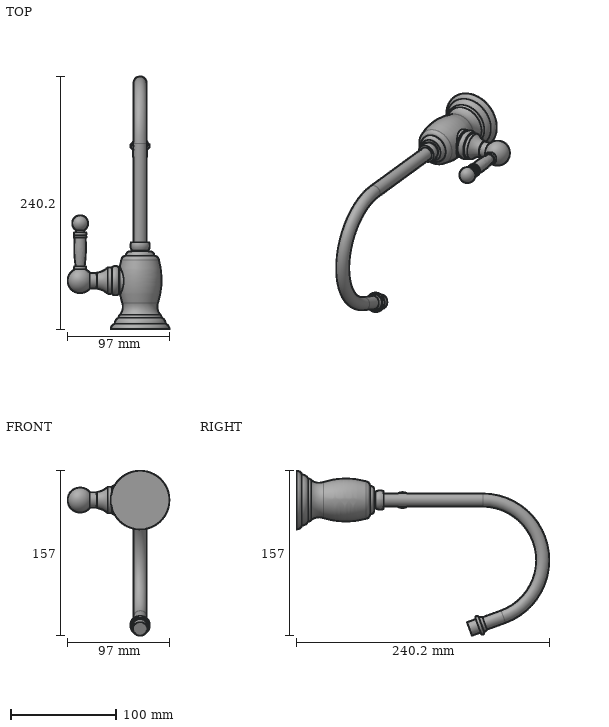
import cadquery as cq
import math


FOOT_RADIUS = 28.0
FOOT_HEIGHT = 5.0
MOULDING_BULGE = 0.95
STEP_RADIUS = 24.4
STEP_TOP = 10.9
STEP_TOP_RADIUS = 20.6
COVE_START = 13.6
COVE_START_RADIUS = 19.2
EDGE_BULGE = 0.4
COVE_BULGE = -1.5
WAIST_TOP = 25.2
WAIST_TOP_RADIUS = 17.2
BARREL_TOP = 65.7
BARREL_TOP_RADIUS = 18.0
BARREL_BULGE = 2.95
SHOULDER_TOP = 69.7
SHOULDER_BULGE = 0.8
SHOULDER_TOP_RADIUS = 14.3
DOME_RADIUS = 13.7
DOME_TOP = 73.8
DOME_TOP_RADIUS = 10.6
NECK_RADIUS = 8.0
NECK_TOP = 74.5
COLLAR_BOTTOM = 75.8
COLLAR_END_RADIUS = 8.5
COLLAR_TOP = 82.7
COLLAR_BULGE = 0.9

TUBE_RADIUS = 6.35
BEND_RADIUS = 57.15
REACH = 240.16
BEND_ANGLE = 160.0
BEND_START = REACH - TUBE_RADIUS - BEND_RADIUS
NOZZLE_LENGTH = 34.15
LIP_START = 18.6
LIP_BULGE = 0.2
LIP_END = 21.5
LIP_END_RADIUS = 7.5
NOZZLE_RING_START = 22.0
NOZZLE_RING_END = 25.3
NOZZLE_RING_BULGE = 1.2
NOZZLE_RING_RADIUS = 9.4
TIP_RADIUS = 6.9

HANDLE_HEIGHT = 46.0
HUB_RADIUS = 13.5
HUB_START = 10.0
HUB_END = 19.4
HUB_GROOVE_RADIUS = 12.7
HANDLE_RING_START = 20.4
HANDLE_RING_END = 26.5
HANDLE_RING_BULGE = 1.2
HANDLE_RING_RADIUS = 14.1
RING_GROOVE_RADIUS = 12.0
BAND_START = 27.0
BAND_END = 30.9
BAND_RADIUS = 12.5
BAND_BULGE = 0.3
BELL_END = 40.8
BELL_END_RADIUS = 7.8
BELL_BULGE = -0.9
JOINT_GAP = 0.4
JOINT_RADIUS = 5.4
STEM_RADIUS = 7.5
BALL_RADIUS = 12.0
OVERALL_WIDTH = 96.98
BALL_DISTANCE = OVERALL_WIDTH - FOOT_RADIUS - BALL_RADIUS

LEVER_RING_START = 10.6
LEVER_RING_END = 13.8
LEVER_RING_RADIUS = 6.0
LEVER_RING_BULGE = 0.7
GRIP_BOTTOM_RADIUS = 4.4
GRIP_END = 40.6
GRIP_TOP_RADIUS = 5.4
GRIP_BULGE = 0.8
BEAD_RADIUS = 6.1
BEAD_BULGE = 0.5
BEAD_GROOVE_RADIUS = 5.4
BEAD_GROOVE_START = 42.6
BEAD_GROOVE_END = 43.1
BEAD_END = 46.1
LEVER_NECK_RADIUS = 4.0
KNOB_RADIUS = 7.7
KNOB_DISTANCE = 54.5


def turned(plane, start_height, steps):
    """Revolve a profile about the local Y axis of a plane.

    Each step is (radius, height, bulge): a straight line where the bulge is 0, otherwise an
    arc that swells outwards by the bulge, or hollows inwards where it is negative.
    """
    radius, height = 0.0, start_height
    profile = cq.Workplane(plane).moveTo(radius, height)
    for next_radius, next_height, bulge in steps:
        if bulge == 0:
            profile = profile.lineTo(next_radius, next_height)
        else:
            run, rise = next_radius - radius, next_height - height
            chord = math.hypot(run, rise)
            middle = (
                (radius + next_radius) / 2 + bulge * rise / chord,
                (height + next_height) / 2 - bulge * run / chord,
            )
            profile = profile.threePointArc(middle, (next_radius, next_height))
        radius, height = next_radius, next_height
    return profile.lineTo(0, height).close().revolve(360, (0, 0), (0, 1))


def rounded_ring(start, end, outer_radius, bulge):
    """Steps for a raised ring whose rim is a convex arc."""
    return [(outer_radius - bulge, start, 0), (outer_radius - bulge, end, bulge)]


def make_body():
    steps = [
        (FOOT_RADIUS, 0, 0),
        (STEP_RADIUS, FOOT_HEIGHT, MOULDING_BULGE),
        (STEP_TOP_RADIUS, STEP_TOP, MOULDING_BULGE),
        (COVE_START_RADIUS, COVE_START, EDGE_BULGE),
        (WAIST_TOP_RADIUS, WAIST_TOP, COVE_BULGE),
        (BARREL_TOP_RADIUS, BARREL_TOP, BARREL_BULGE),
        (SHOULDER_TOP_RADIUS, SHOULDER_TOP, SHOULDER_BULGE),
        (DOME_RADIUS, SHOULDER_TOP, 0),
        (DOME_TOP_RADIUS, DOME_TOP, SHOULDER_BULGE),
        (NECK_RADIUS, DOME_TOP, 0),
        (NECK_RADIUS, NECK_TOP, 0),
        (COLLAR_END_RADIUS, COLLAR_BOTTOM, 0),
        (COLLAR_END_RADIUS, COLLAR_TOP, COLLAR_BULGE),
    ]
    return turned(cq.Plane.XY(), 0, steps)


def make_spout():
    angle = math.radians(BEND_ANGLE)
    half = angle / 2

    def bend_point(turn):
        return (
            BEND_START + BEND_RADIUS * math.sin(turn),
            BEND_RADIUS * (math.cos(turn) - 1),
        )

    path = (
        cq.Workplane("YZ")
        .moveTo(DOME_TOP, 0)
        .lineTo(BEND_START, 0)
        .threePointArc(bend_point(half), bend_point(angle))
    )
    tube = cq.Workplane("XZ", origin=(0, DOME_TOP, 0)).circle(TUBE_RADIUS).sweep(path)

    bend_end = cq.Vector(0, *bend_point(angle))
    flow = cq.Vector(0, math.cos(angle), -math.sin(angle))
    across = cq.Vector(1, 0, 0)
    steps = [
        (TUBE_RADIUS, 0, 0),
        (TUBE_RADIUS, LIP_START, 0),
        (LIP_END_RADIUS, LIP_END, LIP_BULGE),
        (LIP_END_RADIUS, NOZZLE_RING_START, 0),
        *rounded_ring(NOZZLE_RING_START, NOZZLE_RING_END, NOZZLE_RING_RADIUS, NOZZLE_RING_BULGE),
        (TIP_RADIUS, NOZZLE_RING_END, 0),
        (TIP_RADIUS, NOZZLE_LENGTH, 0),
    ]
    nozzle = turned(cq.Plane(bend_end, across, across.cross(flow)), 0, steps)
    return tube.union(nozzle)


def make_handle():
    plane = cq.Plane((0, HANDLE_HEIGHT, 0), xDir=(0, 1, 0), normal=(0, 0, 1))
    stem_start = BELL_END + JOINT_GAP
    steps = [
        (HUB_RADIUS, HUB_START, 0),
        (HUB_RADIUS, HUB_END, 0),
        (HUB_GROOVE_RADIUS, HUB_END, 0),
        (HUB_GROOVE_RADIUS, HANDLE_RING_START, 0),
        *rounded_ring(HANDLE_RING_START, HANDLE_RING_END, HANDLE_RING_RADIUS, HANDLE_RING_BULGE),
        (RING_GROOVE_RADIUS, HANDLE_RING_END, 0),
        (RING_GROOVE_RADIUS, BAND_START, 0),
        (BAND_RADIUS, BAND_START, 0),
        (BAND_RADIUS, BAND_END, BAND_BULGE),
        (BELL_END_RADIUS, BELL_END, BELL_BULGE),
        (JOINT_RADIUS, BELL_END, 0),
        (JOINT_RADIUS, stem_start, 0),
        (STEM_RADIUS, stem_start, 0),
        (STEM_RADIUS, BALL_DISTANCE, 0),
    ]
    ball = cq.Workplane(origin=(-BALL_DISTANCE, HANDLE_HEIGHT, 0)).sphere(BALL_RADIUS)
    return turned(plane, HUB_START, steps).union(ball)


def make_lever():
    plane = cq.Plane((-BALL_DISTANCE, HANDLE_HEIGHT, 0))
    steps = [
        (GRIP_BOTTOM_RADIUS, 0, 0),
        (GRIP_BOTTOM_RADIUS, LEVER_RING_START, 0),
        *rounded_ring(LEVER_RING_START, LEVER_RING_END, LEVER_RING_RADIUS, LEVER_RING_BULGE),
        (GRIP_BOTTOM_RADIUS, LEVER_RING_END, 0),
        (GRIP_TOP_RADIUS, GRIP_END, GRIP_BULGE),
        *rounded_ring(GRIP_END, BEAD_GROOVE_START, BEAD_RADIUS, BEAD_BULGE),
        (BEAD_GROOVE_RADIUS, BEAD_GROOVE_START, 0),
        (BEAD_GROOVE_RADIUS, BEAD_GROOVE_END, 0),
        *rounded_ring(BEAD_GROOVE_END, BEAD_END, BEAD_RADIUS, BEAD_BULGE),
        (LEVER_NECK_RADIUS, BEAD_END, 0),
        (LEVER_NECK_RADIUS, KNOB_DISTANCE, 0),
    ]
    knob_height = HANDLE_HEIGHT + KNOB_DISTANCE
    knob = cq.Workplane(origin=(-BALL_DISTANCE, knob_height, 0)).sphere(KNOB_RADIUS)
    return turned(plane, 0, steps).union(knob)


result = make_body().union(make_spout()).union(make_handle()).union(make_lever())